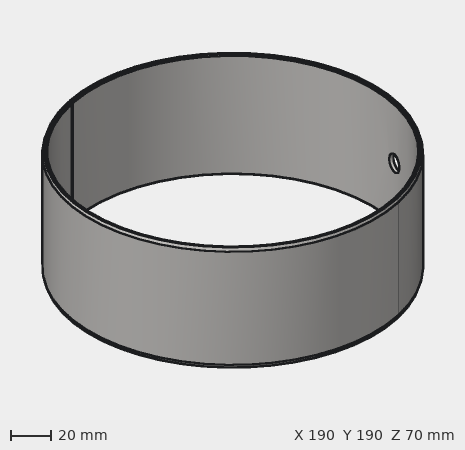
import cadquery as cq

outer_diameter = 190.0
height = 70.0
wall = 2.5
bevel_width = 0.8
outer_bevel_height = 2.0
inner_bevel_height = 0.8
slit_width = 1.7
hole_diameter = 10.0
hole_angle = 59.0
hole_height = height / 2

outer_radius = outer_diameter / 2
inner_radius = outer_radius - wall


def bevelled_ring():
    """Thin ring with steep outer bevels and 45 degree inner bevels."""
    land_inner = inner_radius + bevel_width
    land_outer = outer_radius - bevel_width
    section = [
        (land_inner, 0),
        (land_outer, 0),
        (outer_radius, outer_bevel_height),
        (outer_radius, height - outer_bevel_height),
        (land_outer, height),
        (land_inner, height),
        (inner_radius, height - inner_bevel_height),
        (inner_radius, inner_bevel_height),
    ]
    return cq.Workplane("XZ").polyline(section).close().revolve(360, (0, 0), (0, 1))


def wall_slit():
    """Full-height cut that opens the ring on its -X side, just on the +Y side of the X axis."""
    slit = cq.Workplane("XY").box(outer_radius, slit_width, height, centered=False)
    return slit.translate((-outer_radius, 0, 0))


def wall_hole():
    """Radial round hole through one side of the wall."""
    hole = cq.Workplane("YZ").center(0, hole_height).circle(hole_diameter / 2).extrude(outer_diameter)
    return hole.rotate((0, 0, 0), (0, 0, 1), hole_angle)


result = bevelled_ring().cut(wall_slit()).cut(wall_hole())